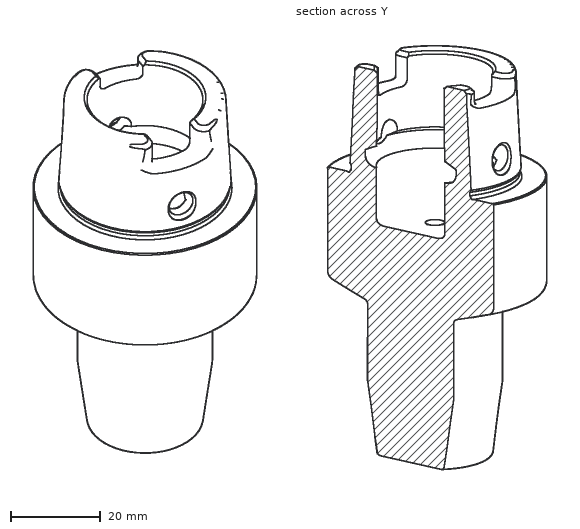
import cadquery as cq
import math

total_length = 89.9
nose_length = 17.0
flange_top = 64.9
flange_corner = 39.2
face_relief_depth = 0.2
undercut_bottom = 65.5
undercut_top = 66.35
taper_bottom = 66.9

nose_radius = 12.95
shaft_radius = 15.1
flange_radius = 25.0
face_relief_radius = 20.2
face_relief_root = 19.4
undercut_radius = 19.0
taper_base_radius = 19.2
taper_top_radius = 18.1

nose_edge_fillet = 0.8
neck_fillet = 1.0
flange_fillet = 2.0
flange_edge_chamfer = 0.3
rim_fillet = 1.0
underside_angle = 20.0

bore_radius = 12.95
bore_mouth_chamfer = 0.6
bore_straight_depth = 9.9
bore_lower_radius = 13.1
lip_depth = 17.7
groove_radius = 15.55
groove_shoulder_angle = 30.0
groove_floor_depth = 22.65
groove_floor_fillet = 2.3
bore_floor_depth = 36.0
bore_floor_fillet = 1.4
center_mark_radius = 2.2
center_mark_angle = 90.0

slot_half_width = 5.3
slot_corner_radius = 2.5
slot_shoulder_x = 16.3
slot_floor_fillet = 1.5
slot_edge_chamfer = 1.0
shallow_slot_depth = 4.5
deep_slot_depth = 7.55

cross_hole_radius = 3.0
cross_hole_drop = 17.4
cross_hole_chamfer = 0.8
sink_clearance = 0.9

select_margin = 0.045


def revolve_profile(points):
    """Revolve a closed outline of (radius, height) points about the Z axis."""
    return cq.Workplane("XZ").polyline(points).close().revolve(360, (0, 0), (0, 1))


def edges_at(radius, height):
    """Select the circular edge of a given radius and height."""
    bottom = height - select_margin
    top = height + select_margin
    reach = radius + select_margin
    inside = radius - select_margin
    box = cq.selectors.BoxSelector
    within_reach = box((-reach, -reach, bottom), (reach, reach, top), boundingbox=True)
    too_small = box((-inside, -inside, bottom), (inside, inside, top), boundingbox=True)
    return within_reach - too_small


def make_body():
    underside_drop = (flange_radius - shaft_radius) * math.tan(math.radians(underside_angle))
    neck_height = flange_corner - underside_drop
    body = revolve_profile([
        (0, 0),
        (nose_radius, 0),
        (shaft_radius, nose_length),
        (shaft_radius, neck_height),
        (flange_radius, flange_corner),
        (flange_radius, flange_top),
        (face_relief_radius, flange_top),
        (face_relief_root, flange_top - face_relief_depth),
        (undercut_radius, undercut_bottom),
        (undercut_radius, undercut_top),
        (taper_base_radius, taper_bottom),
        (taper_top_radius, total_length),
        (0, total_length),
    ])
    body = body.edges(edges_at(nose_radius, 0)).fillet(nose_edge_fillet)
    body = body.edges(edges_at(shaft_radius, neck_height)).fillet(neck_fillet)
    body = body.edges(edges_at(flange_radius, flange_corner)).fillet(flange_fillet)
    body = body.edges(edges_at(flange_radius, flange_top)).chamfer(flange_edge_chamfer)
    return body.edges(edges_at(taper_top_radius, total_length)).fillet(rim_fillet)


def make_bore():
    floor = total_length - bore_floor_depth
    groove_floor = total_length - groove_floor_depth
    lip_height = total_length - lip_depth
    shoulder_width = groove_radius - bore_lower_radius
    shoulder_drop = shoulder_width * math.tan(math.radians(groove_shoulder_angle))
    bore = revolve_profile([
        (0, floor),
        (bore_lower_radius, floor),
        (bore_lower_radius, groove_floor),
        (groove_radius, groove_floor),
        (groove_radius, lip_height - shoulder_drop),
        (bore_lower_radius, lip_height),
        (bore_radius, total_length - bore_straight_depth),
        (bore_radius, total_length - bore_mouth_chamfer),
        (bore_radius + bore_mouth_chamfer, total_length),
        (0, total_length),
    ])
    bore = bore.edges(edges_at(bore_lower_radius, floor)).fillet(bore_floor_fillet)
    bore = bore.edges(edges_at(groove_radius, groove_floor)).fillet(groove_floor_fillet)
    mark_depth = center_mark_radius / math.tan(math.radians(center_mark_angle / 2))
    mark = revolve_profile([(0, floor - mark_depth), (center_mark_radius, floor), (0, floor)])
    return bore.union(mark)


def slot_outline(growth=0.0):
    """Plan of a +X slot, flared around the rounded lug corners along the taper surface."""
    half_width = slot_half_width + growth
    radius = slot_corner_radius - growth
    center_x = slot_shoulder_x - slot_corner_radius
    center_y = slot_half_width + slot_corner_radius
    end_angle = math.atan2(center_y, center_x)
    middle_angle = (end_angle - math.pi / 2) / 2
    end_x = center_x + radius * math.cos(end_angle)
    end_y = center_y + radius * math.sin(end_angle)
    middle_x = center_x + radius * math.cos(middle_angle)
    middle_y = center_y + radius * math.sin(middle_angle)
    mouth_y = flange_radius / 2
    mouth_x = end_x - (mouth_y - end_y) * math.tan(end_angle)
    inner_x = bore_radius / 2
    outer_x = flange_radius
    return (
        cq.Workplane("XY")
        .moveTo(inner_x, -half_width)
        .lineTo(center_x, -half_width)
        .threePointArc((middle_x, -middle_y), (end_x, -end_y))
        .lineTo(mouth_x, -mouth_y)
        .lineTo(outer_x, -mouth_y)
        .lineTo(outer_x, mouth_y)
        .lineTo(mouth_x, mouth_y)
        .lineTo(end_x, end_y)
        .threePointArc((middle_x, middle_y), (center_x, half_width))
        .lineTo(inner_x, half_width)
        .close()
    )


def make_slot(depth):
    """Cutter for one +X slot with a rounded floor and a chamfered top edge."""
    slot = slot_outline().extrude(depth)
    slot = slot.faces("<Z").edges("not(<X or >X or <Y or >Y)").fillet(slot_floor_fillet)
    mouth = slot_outline(slot_edge_chamfer).extrude(-slot_edge_chamfer, taper=45)
    mouth = mouth.translate((0, 0, depth))
    return slot.union(mouth).translate((0, 0, total_length - depth))


def make_cross_hole():
    """Cutter for the hole along X, countersunk where it leaves the taper on both sides."""
    height = total_length - cross_hole_drop
    hole = (
        cq.Workplane("YZ", origin=(0, 0, height))
        .circle(cross_hole_radius)
        .extrude(flange_radius, both=True)
    )
    taper_slope = (taper_base_radius - taper_top_radius) / (total_length - taper_bottom)
    surface_x = taper_top_radius + taper_slope * cross_hole_drop
    wide_radius = cross_hole_radius + cross_hole_chamfer
    sink = (
        cq.Workplane("YZ", origin=(surface_x, 0, height))
        .circle(wide_radius)
        .extrude(-cross_hole_chamfer, taper=45)
    )
    clearance = (
        cq.Workplane("YZ", origin=(surface_x, 0, height))
        .circle(wide_radius)
        .extrude(sink_clearance)
    )
    sink = sink.union(clearance)
    return hole.union(sink).union(sink.mirror("YZ"))


result = (
    make_body()
    .cut(make_bore())
    .cut(make_slot(deep_slot_depth))
    .cut(make_slot(shallow_slot_depth).mirror("YZ"))
    .cut(make_cross_hole())
)